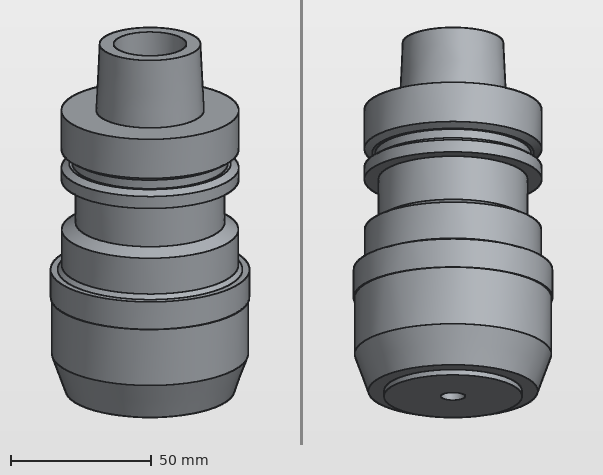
import cadquery as cq

LENGTH = 132.0

NOSE_TIP_TOP = 2.0
NOSE_CONE_TOP = 15.7
NUT_TOP = 36.8
COLLAR_TOP = 47.3
COLLAR_CHAMFER_TOP = 48.8
BODY_TOP = 62.3
NECK_BOTTOM = 65.0
FLANGE_BOTTOM = 81.0
FLANGE_TOP = 107.0

NOSE_TIP_RADIUS = 24.5
NOSE_CONE_RADIUS = 30.1
NUT_RADIUS = 35.0
COLLAR_RADIUS = 35.4
COLLAR_CHAMFER_RADIUS = 32.9
BODY_RADIUS = 31.4
NECK_RADIUS = 26.5
FLANGE_RADIUS = 31.5
SHANK_BASE_RADIUS = 19.1
SHANK_TIP_RADIUS = 18.0

GROOVE_CENTER = 89.0
GROOVE_FLOOR_WIDTH = 3.5
GROOVE_MOUTH_WIDTH = 6.9
GROOVE_RADIUS = 27.7
GROOVE_LIP_RADIUS = 28.8

SOCKET_RADIUS = 13.0
SOCKET_LIP_DEPTH = 10.0
UNDERCUT_RADIUS = 15.8
SOCKET_DEPTH = 19.5
COUNTERBORE_RADIUS = 6.1
COUNTERBORE_DEPTH = 6.6
THROUGH_RADIUS = 4.4


def revolve_profile(points):
    """Revolve a closed (radius, height) outline around the Z axis."""
    return cq.Workplane("XZ").polyline(points).close().revolve(360, (0, 0), (0, 1))


def outer_body():
    """Solid holder: nose, nut, collar, body, neck, flange and tapered shank."""
    return revolve_profile([
        (0, 0),
        (NOSE_TIP_RADIUS, 0),
        (NOSE_TIP_RADIUS, NOSE_TIP_TOP),
        (NOSE_CONE_RADIUS, NOSE_TIP_TOP),
        (NUT_RADIUS, NOSE_CONE_TOP),
        (NUT_RADIUS, NUT_TOP),
        (COLLAR_RADIUS, NUT_TOP),
        (COLLAR_RADIUS, COLLAR_TOP),
        (COLLAR_CHAMFER_RADIUS, COLLAR_TOP),
        (BODY_RADIUS, COLLAR_CHAMFER_TOP),
        (BODY_RADIUS, BODY_TOP),
        (NECK_RADIUS, NECK_BOTTOM),
        (NECK_RADIUS, FLANGE_BOTTOM),
        (FLANGE_RADIUS, FLANGE_BOTTOM),
        (FLANGE_RADIUS, FLANGE_TOP),
        (SHANK_BASE_RADIUS, FLANGE_TOP),
        (SHANK_TIP_RADIUS, LENGTH),
        (0, LENGTH),
    ])


def gripper_groove():
    """Ring with straight walls at its floor and sloped walls at its mouth."""
    floor_half = GROOVE_FLOOR_WIDTH / 2
    mouth_half = GROOVE_MOUTH_WIDTH / 2
    return revolve_profile([
        (GROOVE_RADIUS, GROOVE_CENTER - floor_half),
        (GROOVE_LIP_RADIUS, GROOVE_CENTER - floor_half),
        (FLANGE_RADIUS, GROOVE_CENTER - mouth_half),
        (FLANGE_RADIUS, GROOVE_CENTER + mouth_half),
        (GROOVE_LIP_RADIUS, GROOVE_CENTER + floor_half),
        (GROOVE_RADIUS, GROOVE_CENTER + floor_half),
    ])


def axial_bores():
    """Undercut socket in the shank, a smaller counterbore below it and the through hole."""
    lip_bottom = LENGTH - SOCKET_LIP_DEPTH
    socket_floor = LENGTH - SOCKET_DEPTH
    counterbore_floor = socket_floor - COUNTERBORE_DEPTH
    return revolve_profile([
        (0, 0),
        (THROUGH_RADIUS, 0),
        (THROUGH_RADIUS, counterbore_floor),
        (COUNTERBORE_RADIUS, counterbore_floor),
        (COUNTERBORE_RADIUS, socket_floor),
        (UNDERCUT_RADIUS, socket_floor),
        (UNDERCUT_RADIUS, lip_bottom),
        (SOCKET_RADIUS, lip_bottom),
        (SOCKET_RADIUS, LENGTH),
        (0, LENGTH),
    ])


result = outer_body().cut(gripper_groove()).cut(axial_bores())